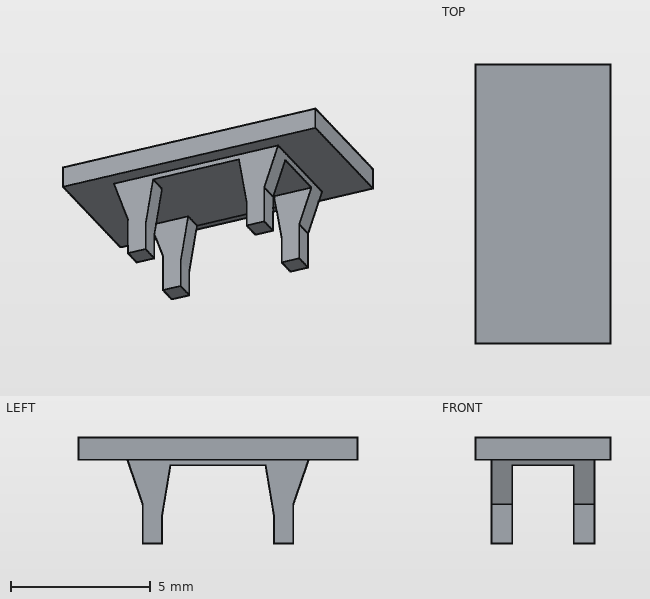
import cadquery as cq

plate_width = 4.85
plate_length = 10.0
plate_thickness = 0.8

frame_height = 3.0
frame_width = 3.7
leg_width = 0.75
web_thickness = 0.2

root_outer = 3.25
root_inner = 1.7
foot_outer = 2.7
foot_inner = 2.0
outer_taper_depth = 1.6
inner_taper_depth = 2.0


def make_plate():
    """Rectangular plate with its underside on Z = 0."""
    return cq.Workplane("XY").box(plate_width, plate_length, plate_thickness, centered=(True, True, False))


def make_leg_frame():
    """Tapered legs and web as one Y-Z profile, with the gap between the leg pairs cut out."""
    half_profile = [
        (root_outer, 0),
        (foot_outer, -outer_taper_depth),
        (foot_outer, -frame_height),
        (foot_inner, -frame_height),
        (foot_inner, -inner_taper_depth),
        (root_inner, -web_thickness),
    ]
    mirrored_half = [(-y, z) for y, z in reversed(half_profile)]
    frame = (
        cq.Workplane("YZ")
        .polyline(half_profile + mirrored_half)
        .close()
        .extrude(frame_width / 2, both=True)
    )

    gap_width = frame_width - 2 * leg_width
    gap_height = frame_height - web_thickness
    gap = (
        cq.Workplane("XY", origin=(0, 0, -frame_height))
        .box(gap_width, 2 * root_outer, gap_height, centered=(True, True, False))
    )
    return frame.cut(gap)


result = make_plate().union(make_leg_frame())